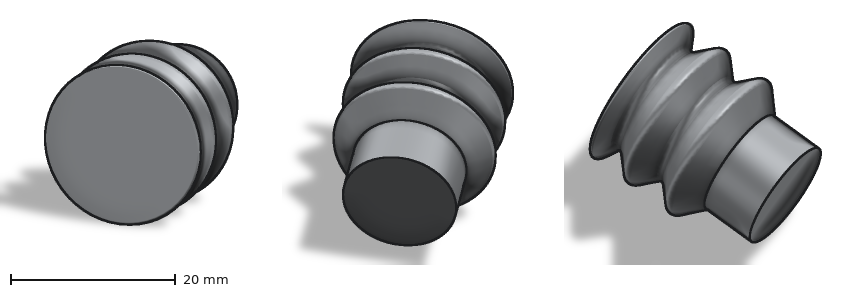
import cadquery as cq
import math

total_length = 22.5
neck_diameter = 14.0
neck_length = 7.0
crest_diameter = 20.04
root_diameter = 15.0
fold_angle = 45.0
fold_round = 0.85

upper_crest_y = 12.24
lip_groove_corner_radius = 6.93
lip_round = 0.32
lip_flare_angle = 31.0

neck_radius = neck_diameter / 2
crest_radius = crest_diameter / 2
root_radius = root_diameter / 2
neck_base_y = total_length - neck_length

flank_slope = math.tan(math.radians(fold_angle))
round_depth = fold_round * (1 / math.cos(math.radians(fold_angle)) - 1)
crest_corner_radius = crest_radius + round_depth
root_corner_radius = root_radius - round_depth

flank_drop = (crest_corner_radius - root_corner_radius) * flank_slope
groove_y = upper_crest_y - flank_drop
lower_crest_y = groove_y - flank_drop
lip_groove_y = lower_crest_y - (crest_corner_radius - lip_groove_corner_radius) * flank_slope

lip_tangent_length = lip_round / math.tan(math.radians(lip_flare_angle / 2))
lip_corner_radius = crest_radius - lip_round + lip_tangent_length

upper_crest = (crest_corner_radius, upper_crest_y)
fold_groove = (root_corner_radius, groove_y)
lower_crest = (crest_corner_radius, lower_crest_y)
lip_groove = (lip_groove_corner_radius, lip_groove_y)
lip_corner = (lip_corner_radius, 0)


def turned_blank():
    """Neck, two sharp folds and a sharp lip as one revolved solid."""
    profile = [
        (0, 0),
        lip_corner,
        lip_groove,
        lower_crest,
        fold_groove,
        upper_crest,
        (neck_radius, neck_base_y),
        (neck_radius, total_length),
        (0, total_length),
    ]
    return cq.Workplane("XY").polyline(profile).close().revolve(axisStart=(0, 0), axisEnd=(0, 1))


def round_corner(body, corner, radius):
    """Round the circular edge turned by a (radius, Y) profile corner, found by its centre on the axis."""
    corner_y = corner[1]
    nearest_centre = cq.selectors.NearestToPointSelector((0, corner_y, 0))
    return body.edges("%CIRCLE").edges(nearest_centre).fillet(radius)


result = turned_blank()
for fold_corner in (upper_crest, fold_groove, lower_crest, lip_groove):
    result = round_corner(result, fold_corner, fold_round)
result = round_corner(result, lip_corner, lip_round)